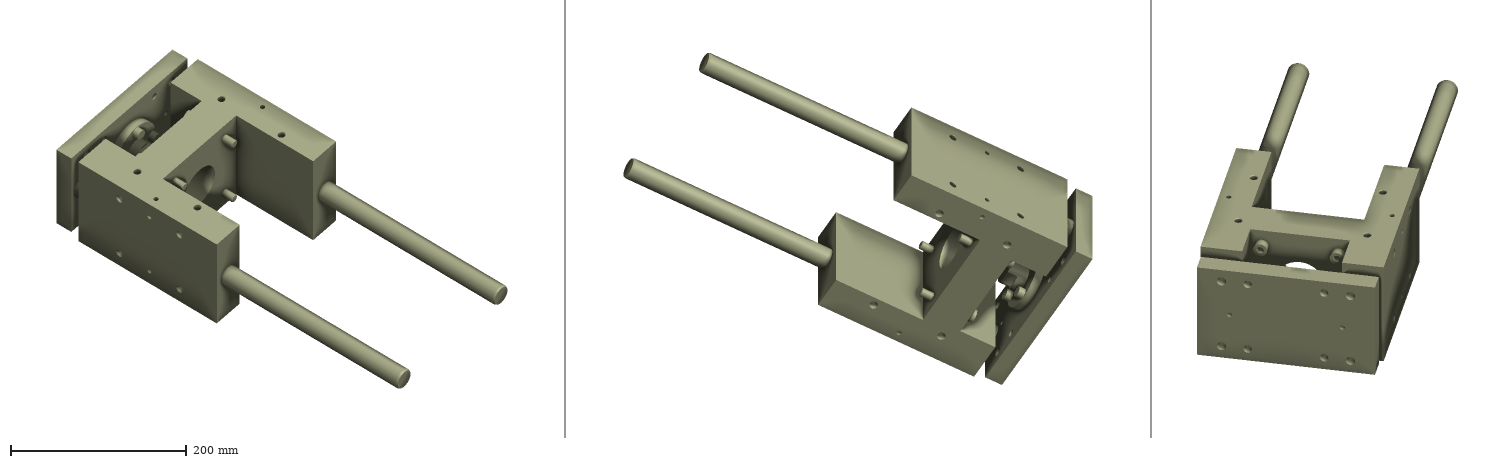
import cadquery as cq
import math


plate_length = 22
plate_width = 207
plate_height = 120

rod_diameter = 25
rod_spacing = 173
rod_end_x = 501
rod_chamfer_length = 2
rod_chamfer_depth = 1

housing_start_x = 35
housing_length = 205
housing_width = 213
housing_height = 129
housing_top_z = 65
housing_bottom_z = housing_top_z - housing_height
front_pocket_length = 46
front_pocket_width = 116
web_length = 45
rear_pocket_width = 131
cylinder_bore_diameter = 55
web_start_x = housing_start_x + front_pocket_length
web_end_x = web_start_x + web_length
housing_end_x = housing_start_x + housing_length

hole_pitch = 89
half_pitch = hole_pitch / 2
fixing_centre_x = 140.5
fixing_row_y = 75
tap_diameter = 8.5
tap_mouth_diameter = 10
tap_chamfer = (tap_mouth_diameter - tap_diameter) / 2
tap_depth = 20
drill_point_angle = 118
dowel_diameter = 6
dowel_depth = 10
dowel_row_y = 95

plate_bolt_diameter = 11
plate_bolt_spacing = 150
plate_dowel_spacing = 131

screw_diameter = 10
screw_head_diameter = 16
screw_head_length = 10
screw_projection = 15
screw_chamfer = 0.81
socket_across_flats = 8
socket_depth = 5

flange_diameter = 70
flange_length = 10
coupling_diameter = 29
coupling_end_x = 56.5
coupling_across_flats = 24
coupling_flat_length = 12.5
coupling_screw_circle = 56
coupling_screw_head_diameter = 13
coupling_screw_head_length = 8

rod_points = [(-rod_spacing / 2, 0), (rod_spacing / 2, 0)]
square_pattern = [(y, z) for y in (-half_pitch, half_pitch) for z in (-half_pitch, half_pitch)]


def box_along_x(start_x, length, width, height):
    """A box centred on the X axis that begins at start_x."""
    base = cq.Workplane("XY", origin=(start_x, 0, 0))
    return base.box(length, width, height, centered=(False, True, True))


def cylinders_along_x(start_x, length, diameter, points):
    """Cylinders parallel to X, one at each (y, z) point."""
    return cq.Workplane("YZ", origin=(start_x, 0, 0)).pushPoints(points).circle(diameter / 2).extrude(length)


def tapped_hole(mouth, direction):
    """The cut for a blind tapped hole with a chamfered mouth and a drill point."""
    tap_radius = tap_diameter / 2
    mouth_radius = tap_mouth_diameter / 2
    point_length = tap_radius / math.tan(math.radians(drill_point_angle / 2))
    profile = (
        cq.Workplane("XZ")
        .moveTo(0, 0)
        .lineTo(mouth_radius, 0)
        .lineTo(tap_radius, -tap_chamfer)
        .lineTo(tap_radius, -tap_depth)
        .lineTo(0, -tap_depth - point_length)
        .close()
    )
    cut = profile.revolve(360, (0, 0, 0), (0, 1, 0)).val()
    plane = cq.Plane(origin=mouth, xDir=(1, 0, 0), normal=direction)
    return cut.moved(cq.Location(plane))


def dowel_hole(mouth, direction):
    """The cut for a blind flat-bottomed dowel hole."""
    inward = cq.Vector(*direction) * -1
    return cq.Solid.makeCylinder(dowel_diameter / 2, dowel_depth, cq.Vector(*mouth), inward)


def housing_fixing_cuts():
    """Hole patterns in the top, bottom and both side faces of the housing."""
    cuts = []
    tap_x_places = (fixing_centre_x - half_pitch, fixing_centre_x + half_pitch)
    for outward in (-1, 1):
        for across in (-1, 1):
            face_z = housing_top_z if outward > 0 else housing_bottom_z
            face_y = outward * housing_width / 2
            z_normal = (0, 0, outward)
            y_normal = (0, outward, 0)
            for x in tap_x_places:
                cuts.append(tapped_hole((x, across * fixing_row_y, face_z), z_normal))
                cuts.append(tapped_hole((x, face_y, across * half_pitch), y_normal))
            cuts.append(dowel_hole((fixing_centre_x, across * dowel_row_y, face_z), z_normal))
            cuts.append(dowel_hole((fixing_centre_x, face_y, across * half_pitch), y_normal))
    return cuts


def add_cylinder_screws(body):
    """Four socket head screws through the web, heads in the front pocket."""
    head_start_x = web_start_x - screw_head_length
    shanks = cylinders_along_x(web_end_x, screw_projection, screw_diameter, square_pattern)
    shanks = shanks.faces(">X").chamfer(screw_chamfer)
    heads = cylinders_along_x(head_start_x, screw_head_length, screw_head_diameter, square_pattern)
    hexagon_half_angle = math.radians(30)
    socket_corner_diameter = socket_across_flats / math.cos(hexagon_half_angle)
    sockets = (
        cq.Workplane("YZ", origin=(head_start_x, 0, 0))
        .pushPoints(square_pattern)
        .polygon(6, socket_corner_diameter)
        .extrude(socket_depth)
    )
    return body.union(shanks).union(heads).cut(sockets)


def make_housing():
    """The H-shaped housing with its rod bores, cylinder bore, fixing holes and cylinder screws."""
    body = box_along_x(housing_start_x, housing_length, housing_width, housing_height)
    body = body.cut(box_along_x(housing_start_x, front_pocket_length, front_pocket_width, housing_height))
    body = body.cut(box_along_x(web_end_x, housing_end_x - web_end_x, rear_pocket_width, housing_height))
    body = body.translate((0, 0, (housing_top_z + housing_bottom_z) / 2))
    body = body.cut(cylinders_along_x(web_start_x, web_length, cylinder_bore_diameter, [(0, 0)]))
    body = body.cut(cylinders_along_x(housing_start_x, housing_length, rod_diameter, rod_points))
    for cut in housing_fixing_cuts():
        body = body.cut(cq.Workplane(cut))
    return add_cylinder_screws(body)


def make_plate():
    """The front plate with bolt, tapped and dowel holes."""
    bolt_points = [(side * plate_bolt_spacing / 2, z) for side in (-1, 1) for z in (-half_pitch, half_pitch)]
    dowel_points = [(side * plate_dowel_spacing / 2, 0) for side in (-1, 1)]
    plate = box_along_x(0, plate_length, plate_width, plate_height)
    plate = plate.cut(cylinders_along_x(0, plate_length, plate_bolt_diameter, bolt_points))
    taps = cylinders_along_x(0, plate_length, tap_diameter, square_pattern)
    plate = plate.cut(taps)
    for y, z in square_pattern:
        mouth = cq.Solid.makeCone(
            tap_mouth_diameter / 2, tap_diameter / 2, tap_chamfer, cq.Vector(0, y, z), cq.Vector(1, 0, 0)
        )
        plate = plate.cut(cq.Workplane(mouth))
    return plate.cut(cylinders_along_x(0, plate_length, dowel_diameter, dowel_points))


def make_rods():
    """Two guide rods with chamfered free ends."""
    rods = cylinders_along_x(plate_length, rod_end_x - plate_length, rod_diameter, rod_points)
    return rods.faces(">X").edges().chamfer(rod_chamfer_length, rod_chamfer_depth)


def make_coupling():
    """The flanged coupling with wrench flats on top and bottom and four screw heads."""
    flange_end_x = plate_length + flange_length
    flange = cylinders_along_x(plate_length, flange_length, flange_diameter, [(0, 0)])
    stud = cylinders_along_x(flange_end_x, coupling_end_x - flange_end_x, coupling_diameter, [(0, 0)])
    flat_start_x = coupling_end_x - coupling_flat_length
    flat_zone = box_along_x(flat_start_x, coupling_flat_length, coupling_diameter, coupling_diameter)
    kept_zone = box_along_x(flat_start_x, coupling_flat_length, coupling_diameter, coupling_across_flats)
    stud = stud.cut(flat_zone.cut(kept_zone))
    screw_radius = coupling_screw_circle / 2
    screw_points = [(screw_radius, 0), (0, screw_radius), (-screw_radius, 0), (0, -screw_radius)]
    heads = cylinders_along_x(
        flange_end_x, coupling_screw_head_length, coupling_screw_head_diameter, screw_points
    )
    return flange.union(stud).union(heads)


def make_carriage():
    """The moving body: front plate, guide rods and coupling in one piece."""
    return make_plate().union(make_rods()).union(make_coupling())


housing = make_housing()
carriage = make_carriage()

result = cq.Compound.makeCompound([housing.val(), carriage.val()])